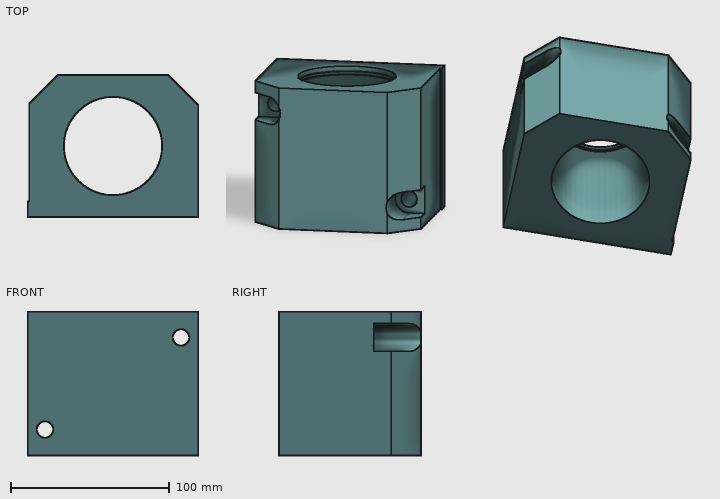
import cadquery as cq

length = 108.0
depth = 90.0
height = 91.0
chamfer = 19.0

relief_depth = 1.0
strip_width = 10.0

bore_diameter = 62.0
bore_y = depth / 2
groove_diameter = 65.0
groove_top_depth = 3.3
groove_width = 2.3

bolt_diameter = 10.3
bolt_side_inset = 11.0
bolt_end_inset = 16.4
seat_width = 17.7
seat_depth = 30.0


def make_block():
    """Box with chamfered back corners and a relieved left side."""
    block = (
        cq.Workplane("XY")
        .box(length, depth, height, centered=(True, False, False))
        .faces(">Y").edges("|Z").chamfer(chamfer)
    )
    relief = (
        cq.Workplane("XY")
        .box(relief_depth, depth - strip_width, height, centered=False)
        .translate((-length / 2, strip_width, 0))
    )
    return block.cut(relief)


def make_bore():
    """Through bore together with its ring groove."""
    bore = cq.Workplane("XY").center(0, bore_y).circle(bore_diameter / 2).extrude(height)
    groove_bottom = height - groove_top_depth - groove_width
    groove = (
        cq.Workplane("XY", origin=(0, bore_y, groove_bottom))
        .circle(groove_diameter / 2)
        .extrude(groove_width)
    )
    return bore.union(groove)


def make_bolt_cut(side, z):
    """Bolt hole along Y and a U-shaped seat open to the back and to one side (-1 left, +1 right)."""
    x = side * (length / 2 - bolt_side_inset)
    hole = cq.Workplane("XZ", origin=(x, 0, z)).circle(bolt_diameter / 2).extrude(-depth)
    seat_plane = cq.Workplane("XZ", origin=(x, depth, z))
    seat_round = seat_plane.circle(seat_width / 2).extrude(seat_depth)
    seat_opening = (
        seat_plane.center(side * bolt_side_inset / 2, 0)
        .rect(bolt_side_inset, seat_width)
        .extrude(seat_depth)
    )
    return hole.union(seat_round).union(seat_opening)


result = make_block().cut(make_bore())
for side, z in ((-1, bolt_end_inset), (1, height - bolt_end_inset)):
    result = result.cut(make_bolt_cut(side, z))